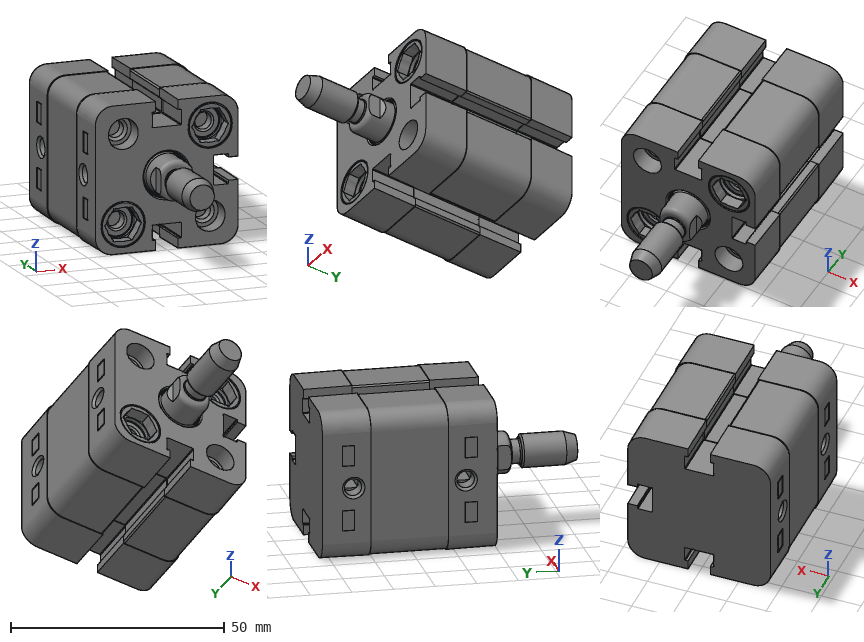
import cadquery as cq
import math


front_cap_length = 11.75
barrel_length = 18.6
rear_cap_length = 11.7
barrel_front_y = front_cap_length
barrel_rear_y = barrel_front_y + barrel_length
housing_length = barrel_rear_y + rear_cap_length

cap_width = 36.3
cap_corner_radius = 4.5
cap_end_inset = 0.115
barrel_width = 35.9
barrel_corner_radius = 4.45

slot_angles = (0, 90, -90)
slot_mouth_width = 5.6
slot_lip_depth = 2.5
slot_corner_chamfer = 0.2
cap_slot_width = 7.3
cap_slot_depth = 6.3
barrel_slot_width = 6.7
barrel_slot_depth = 6.15
slot_edge_chamfer = 0.4

corner_offset = 11.0
thread_hole_diameter = 4.15
thread_hole_depth = 3.2
screw_corners = ((corner_offset, corner_offset), (-corner_offset, -corner_offset))
mounting_corners = ((-corner_offset, corner_offset), (corner_offset, -corner_offset))

screw_head_diameter = 11.1
screw_face_diameter = 10.45
screw_recess = 0.1
screw_edge_depth = 0.4
socket_flats = 8.0
socket_bore_diameter = 8.3
socket_depth = 3.0
socket_relief_diameter = 7.9
socket_floor_diameter = 7.5
socket_floor_bevel = 0.2
socket_relief_depth = 4.15
screw_countersink_diameter = 5.05

mounting_bore_diameter = 7.5
mounting_bore_depth = 4.45
mounting_countersink_diameter = 5.55

port_diameter = 4.15
port_mouth_diameter = 5.4
port_depth = 4.5
port_channel_height = 2.9
port_to_end_face = 7.5
front_port_y = port_to_end_face
rear_port_y = housing_length - port_to_end_face
rear_channel_end_y = housing_length - 5.9

panel_length = 2.9
panel_height = 5.0
panel_depth = 0.2
panel_offset = 8.0
panel_to_end_face = 6.25
front_panel_y = panel_to_end_face
rear_panel_y = housing_length - panel_to_end_face

rod_diameter = 10.0
rod_shoulder_length = 6.45
rod_shoulder_radius = 1.2
collar_diameter = 6.15
collar_length = 0.4
neck_diameter = 5.8
neck_end = 8.8
thread_start = 9.55
thread_chamfer_diameter = 7.0
thread_diameter = 8.0
tip_start = 19.7
tip_diameter = 6.15
overall_length = 64.6
rod_projection = overall_length - housing_length
flats_width = 8.0
flats_start = 3.2
flats_ramp_length = 1.0

seal_recess_diameter = 11.4
seal_mouth_diameter = 12.0
seal_recess_depth = 0.8
seal_lip_setback = 0.2
seal_lip_diameter = 10.9
seal_bore_diameter = 10.45
seal_bore_depth = 1.95

joint_overrun = 0.65


def plane_at(y):
    """Plane across the axis at Y = y, with local x along X, local y along Z and normal to -Y."""
    return cq.Workplane("XZ", origin=(0, y, 0))


def rod_axis_cylinder(diameter, y_start, y_end, x=0, z=0):
    """Cylinder parallel to Y between two stations."""
    return plane_at(y_end).center(x, z).circle(diameter / 2).extrude(y_end - y_start)


def cone_ring(start_diameter, end_diameter, y_start, y_end, x=0, z=0):
    """Cone frustum parallel to Y, with a diameter at each of its two stations."""
    solid = cq.Solid.makeCone(
        start_diameter / 2, end_diameter / 2, y_end - y_start, cq.Vector(x, y_start, z), cq.Vector(0, 1, 0)
    )
    return cq.Workplane(obj=solid)


def hexagon_prism(across_flats, y_start, y_end, x, z):
    """Hexagonal prism parallel to Y with two flats level."""
    across_corners = across_flats / math.cos(math.pi / 6)
    return plane_at(y_end).center(x, z).polygon(6, across_corners).extrude(y_end - y_start)


def rounded_square(width, corner_radius, y):
    return plane_at(y).sketch().rect(width, width).vertices().fillet(corner_radius).finalize()


def cap_blank(joint_y, end_y):
    """Drafted cap block, widest at its joint with the barrel."""
    length = abs(end_y - joint_y)
    draft = math.degrees(math.atan(cap_end_inset / length))
    block = rounded_square(cap_width, cap_corner_radius, 0).extrude(length, taper=draft)
    if end_y > joint_y:
        block = block.rotate((0, 0, 0), (0, 0, 1), 180)
    return block.translate((0, joint_y, 0))


def t_slot(slot_width, slot_depth, edge_chamfer, side, y_start, y_end):
    """Cutter for one T-slot on the +X side. `side` is the X of the face that the slot opens in."""
    mouth = slot_mouth_width / 2
    half_width = slot_width / 2
    outer = cap_width / 2 + joint_overrun
    lip = cap_width / 2 - slot_lip_depth
    floor = cap_width / 2 - slot_depth
    half_outline = [(lip, mouth), (lip, half_width - slot_corner_chamfer)]
    half_outline += [(lip - slot_corner_chamfer, half_width), (floor + slot_corner_chamfer, half_width)]
    half_outline += [(floor, half_width - slot_corner_chamfer)]
    if edge_chamfer:
        flare = [(outer, mouth + edge_chamfer), (side, mouth + edge_chamfer), (side - edge_chamfer, mouth)]
    else:
        flare = [(outer, mouth)]
    upper = flare + half_outline
    lower = [(x, -z) for x, z in reversed(upper)]
    return plane_at(y_end).polyline(upper + lower).close().extrude(y_end - y_start)


def cut_t_slots(body, slot):
    for angle in slot_angles:
        body = body.cut(slot.rotate((0, 0, 0), (0, 1, 0), angle))
    return body


def air_port(y, channel_start_y, channel_end_y):
    """Drilled and countersunk port whose floor opens through a flat channel to the axis."""
    side = -cap_width / 2
    mouth_depth = (port_mouth_diameter - port_diameter) / 2
    drill = cq.Workplane("YZ", origin=(side, y, 0)).circle(port_diameter / 2).extrude(port_depth)
    mouth = cq.Workplane(obj=cq.Solid.makeCone(
        port_mouth_diameter / 2, port_diameter / 2, mouth_depth, cq.Vector(side, y, 0), cq.Vector(1, 0, 0)
    ))
    channel = cq.Workplane("XY").box(
        -side - port_depth,
        channel_end_y - channel_start_y,
        port_channel_height,
        centered=(False, False, True),
    ).translate((side + port_depth, channel_start_y, 0))
    return drill.union(mouth).union(channel)


def marking_panels(y):
    """Two shallow rectangular recesses, above and below a port."""
    return (
        cq.Workplane("YZ", origin=(-cap_width / 2, y, 0))
        .pushPoints([(0, panel_offset), (0, -panel_offset)])
        .rect(panel_length, panel_height)
        .extrude(cap_end_inset / 2 + panel_depth)
    )


def threaded_hole(countersink_diameter, y, x, z):
    """Blind hole that starts at Y = y with a 45 degree countersink."""
    countersink_depth = (countersink_diameter - thread_hole_diameter) / 2
    hole = rod_axis_cylinder(thread_hole_diameter, y, y + thread_hole_depth, x, z)
    return hole.union(cone_ring(countersink_diameter, thread_hole_diameter, y, y + countersink_depth, x, z))


def screw_head_cut(x, z):
    """Chamfered rim, hexagon socket, relief and thread of one recessed screw head."""
    rim = rod_axis_cylinder(screw_head_diameter, 0, screw_edge_depth, x, z).cut(
        cone_ring(screw_face_diameter, screw_head_diameter, screw_recess, screw_edge_depth, x, z)
    )
    socket = hexagon_prism(socket_flats, 0, socket_depth, x, z).union(
        rod_axis_cylinder(socket_bore_diameter, 0, socket_depth, x, z)
    )
    bevel_start = socket_relief_depth - socket_floor_bevel
    relief = rod_axis_cylinder(socket_relief_diameter, 0, bevel_start, x, z)
    bevel = cone_ring(socket_relief_diameter, socket_floor_diameter, bevel_start, socket_relief_depth, x, z)
    thread = threaded_hole(screw_countersink_diameter, socket_relief_depth, x, z)
    return socket.union(relief).union(bevel).union(thread).union(rim)


def mounting_hole_cut(x, z):
    bore = rod_axis_cylinder(mounting_bore_diameter, 0, mounting_bore_depth, x, z)
    return bore.union(threaded_hole(mounting_countersink_diameter, mounting_bore_depth, x, z))


def seal_cut():
    """Countersunk recess around the rod with a tapered lip standing around the seal bore."""
    mouth_depth = (seal_mouth_diameter - seal_recess_diameter) / 2
    recess = rod_axis_cylinder(seal_recess_diameter, 0, seal_recess_depth)
    mouth = cone_ring(seal_mouth_diameter, seal_recess_diameter, 0, mouth_depth)
    lip = cone_ring(seal_bore_diameter, seal_lip_diameter, seal_lip_setback, seal_recess_depth)
    bore = rod_axis_cylinder(seal_bore_diameter, 0, seal_bore_depth)
    return recess.union(mouth).cut(lip).union(bore)


def make_rod():
    """Stepped rod with wrench flats, thread undercut and tapered tip."""
    radius = rod_diameter / 2
    fillet_mid = rod_shoulder_radius * math.sqrt(0.5)
    fillet_radius_centre = radius - rod_shoulder_radius
    fillet_y_centre = -rod_shoulder_length + rod_shoulder_radius
    rod = (
        cq.Workplane("XY")
        .moveTo(0, rear_channel_end_y)
        .lineTo(radius, rear_channel_end_y)
        .lineTo(radius, fillet_y_centre)
        .threePointArc(
            (fillet_radius_centre + fillet_mid, fillet_y_centre - fillet_mid),
            (fillet_radius_centre, -rod_shoulder_length),
        )
        .lineTo(collar_diameter / 2, -rod_shoulder_length)
        .lineTo(collar_diameter / 2, -rod_shoulder_length - collar_length)
        .lineTo(neck_diameter / 2, -rod_shoulder_length - collar_length)
        .lineTo(neck_diameter / 2, -neck_end)
        .lineTo(collar_diameter / 2, -neck_end)
        .lineTo(collar_diameter / 2, -neck_end - collar_length)
        .lineTo(thread_chamfer_diameter / 2, -neck_end - collar_length)
        .lineTo(thread_diameter / 2, -thread_start)
        .lineTo(thread_diameter / 2, -tip_start)
        .lineTo(tip_diameter / 2, -rod_projection)
        .lineTo(0, -rod_projection)
        .close()
        .revolve(360, (0, 0, 0), (0, 1, 0))
    )
    flat_cut = (
        cq.Workplane("XY")
        .polyline([
            (radius, -flats_start + flats_ramp_length),
            (flats_width / 2, -flats_start),
            (flats_width / 2, -rod_shoulder_length),
            (radius, -rod_shoulder_length),
        ])
        .close()
        .extrude(radius, both=True)
    )
    return rod.cut(flat_cut).cut(flat_cut.mirror("YZ"))


def make_barrel(rod):
    barrel = rounded_square(barrel_width, barrel_corner_radius, barrel_rear_y).extrude(barrel_length)
    slot = t_slot(
        barrel_slot_width, barrel_slot_depth, slot_edge_chamfer, barrel_width / 2, barrel_front_y, barrel_rear_y
    )
    return cut_t_slots(barrel, slot).cut(rod)


def make_cap(joint_y, end_y):
    """Drafted cap with its T-slots, before the features of its own end."""
    slot = t_slot(cap_slot_width, cap_slot_depth, 0, cap_width / 2, min(joint_y, end_y), max(joint_y, end_y))
    return cut_t_slots(cap_blank(joint_y, end_y), slot)


def make_front_cap(rod):
    cap = make_cap(barrel_front_y, 0)
    for x, z in screw_corners:
        cap = cap.cut(screw_head_cut(x, z))
    for x, z in mounting_corners:
        cap = cap.cut(mounting_hole_cut(x, z))
    port_radius = port_diameter / 2
    port = air_port(front_port_y, front_port_y - port_radius, front_port_y + port_radius)
    return cap.cut(seal_cut()).cut(port).cut(marking_panels(front_panel_y)).cut(rod)


def make_rear_cap(rod):
    cap = make_cap(barrel_rear_y, housing_length)
    port = air_port(rear_port_y, rear_port_y - port_diameter / 2, rear_channel_end_y)
    return cap.cut(port).cut(marking_panels(rear_panel_y)).cut(rod)


piston_rod = make_rod()
front_cap = make_front_cap(piston_rod)
barrel = make_barrel(piston_rod)
rear_cap = make_rear_cap(piston_rod)

result = cq.Compound.makeCompound([front_cap.val(), barrel.val(), rear_cap.val(), piston_rod.val()])